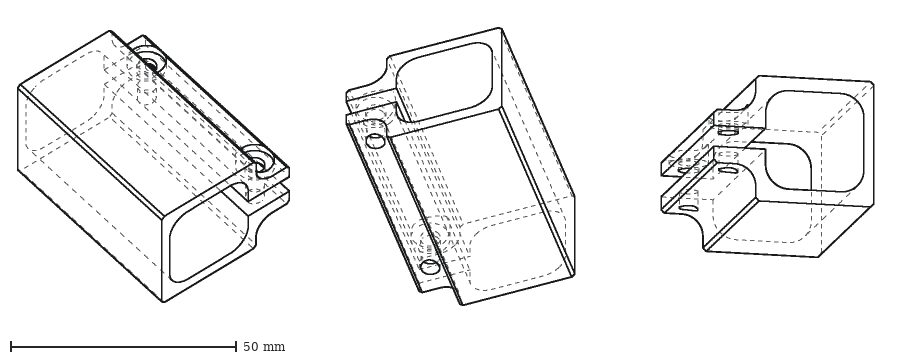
import cadquery as cq


length = 50.8
height = 28.575
overall_depth = 36.5125
flange_reach = 9.525
body_depth = overall_depth - flange_reach
edge_chamfer = 0.762

cavity_size = 22.4
cavity_radius = 5.25

slot_width = 4.7625
flange_thickness = 3.7
flange_fillet = 4.7625

screw_edge_distance = 4.7625
screw_end_distance = 6.35
clearance_hole_diameter = 4.5
lower_hole_diameter = 4.2
counterbore_diameter = 8.73
counterbore_depth = 2.0

body_middle = body_depth / 2
flange_top = slot_width / 2 + flange_thickness
half_height = height / 2
screw_y = overall_depth - screw_edge_distance
screw_xs = (-length / 2 + screw_end_distance, length / 2 - screw_end_distance)


def make_box(y_start, y_end, box_height):
    """Full-length box between two Y positions, centred on Z = 0."""
    return (
        cq.Workplane("XY")
        .box(length, y_end - y_start, box_height)
        .translate((0, (y_start + y_end) / 2, 0))
    )


def make_outer_shape():
    """Body and flange bar with chamfered edges and filleted inner corners."""
    body = make_box(0, body_depth, height).edges("|X").chamfer(edge_chamfer)
    bar = make_box(body_middle, overall_depth, 2 * flange_top)
    bar = bar.faces(">Y").edges("|X").chamfer(edge_chamfer)
    block = body.union(bar)
    inner_corners = [
        cq.selectors.NearestToPointSelector((0, body_depth, z)) for z in (flange_top, -flange_top)
    ]
    return block.edges("|X").edges(inner_corners[0] + inner_corners[1]).fillet(flange_fillet)


def make_cavity():
    """Rounded square bore running the full length."""
    y_start = body_middle - cavity_size / 2
    bore = make_box(y_start, y_start + cavity_size, cavity_size)
    return bore.edges("|X").fillet(cavity_radius)


def make_slot():
    """Gap between the flanges, opening into the cavity."""
    return make_box(body_middle, overall_depth, slot_width)


def make_cylinder(x, z_start, z_end, diameter):
    """Vertical cylinder on a screw axis between two heights."""
    return (
        cq.Workplane("XY", origin=(x, screw_y, z_start))
        .circle(diameter / 2)
        .extrude(z_end - z_start)
    )


def make_screw_cut(x):
    """Counterbored clearance hole in the upper flange, smaller hole through the lower one."""
    lower_hole = make_cylinder(x, -half_height, 0, lower_hole_diameter)
    clearance_hole = make_cylinder(x, 0, half_height, clearance_hole_diameter)
    counterbore = make_cylinder(x, flange_top - counterbore_depth, half_height, counterbore_diameter)
    return lower_hole.union(clearance_hole).union(counterbore)


result = make_outer_shape().cut(make_cavity()).cut(make_slot())
for screw_x in screw_xs:
    result = result.cut(make_screw_cut(screw_x))